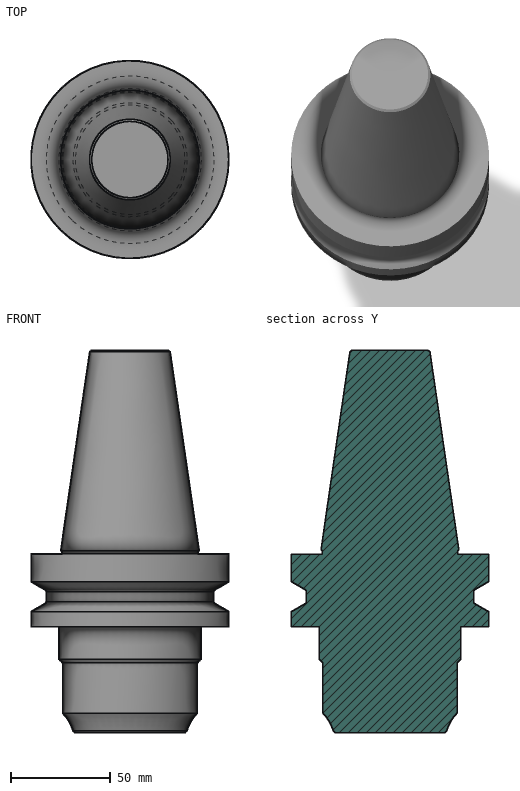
import cadquery as cq
import math

total_height = 193.3
body_top = 37.3
flange_bottom = 53.5
groove_bottom = 61.3
groove_top = 76.4
flange_top = 90.5
neck_height = 1.5

flange_radius = 49.97
groove_floor_radius = 42.3
collar_radius = 36.0
body_radius = 34.0
taper_radius = 35.0
neck_radius = 34.5
nose_radius = 28.8

nose_chamfer = 1.2
flare_top = 10.0
flare_mid_radius = 31.0
flare_mid_height = 6.0

taper_ratio = 7 / 24
groove_wall_slope = math.tan(math.radians(30))
groove_fillet = 1.0
taper_end_chamfer = 1.0

taper_start = flange_top + neck_height
taper_end_radius = taper_radius - (total_height - taper_start) * taper_ratio / 2
groove_wall_rise = (flange_radius - groove_floor_radius) * groove_wall_slope
collar_chamfer = collar_radius - body_radius


def make_lower_body():
    """Nose, cylindrical body and the collar below the flange."""
    return (
        cq.Workplane("XZ")
        .lineTo(nose_radius - nose_chamfer, 0)
        .lineTo(nose_radius, nose_chamfer)
        .threePointArc((flare_mid_radius, flare_mid_height), (body_radius, flare_top))
        .lineTo(body_radius, body_top - collar_chamfer)
        .lineTo(collar_radius, body_top)
        .lineTo(collar_radius, flange_bottom)
        .lineTo(0, flange_bottom)
        .close()
        .revolve(360, (0, 0, 0), (0, 1, 0))
    )


def make_flange():
    """Gripper flange with a V-sided groove, rounded at its floor."""
    floor_bottom = groove_bottom + groove_wall_rise
    floor_top = groove_top - groove_wall_rise
    flange = (
        cq.Workplane("XZ")
        .moveTo(0, flange_bottom)
        .lineTo(flange_radius, flange_bottom)
        .lineTo(flange_radius, groove_bottom)
        .lineTo(groove_floor_radius, floor_bottom)
        .lineTo(groove_floor_radius, floor_top)
        .lineTo(flange_radius, groove_top)
        .lineTo(flange_radius, flange_top)
        .lineTo(0, flange_top)
        .close()
        .revolve(360, (0, 0, 0), (0, 1, 0))
    )
    floor_edges = cq.selectors.RadiusNthSelector(0)
    return flange.edges(floor_edges).fillet(groove_fillet)


def make_taper():
    """Shank taper standing on a short relieved neck."""
    taper = (
        cq.Workplane("XZ")
        .moveTo(0, flange_top)
        .lineTo(neck_radius, flange_top)
        .lineTo(neck_radius, taper_start)
        .lineTo(taper_radius, taper_start)
        .lineTo(taper_end_radius, total_height)
        .lineTo(0, total_height)
        .close()
        .revolve(360, (0, 0, 0), (0, 1, 0))
    )
    return taper.faces(">Z").edges().chamfer(taper_end_chamfer)


result = make_lower_body().union(make_flange()).union(make_taper())